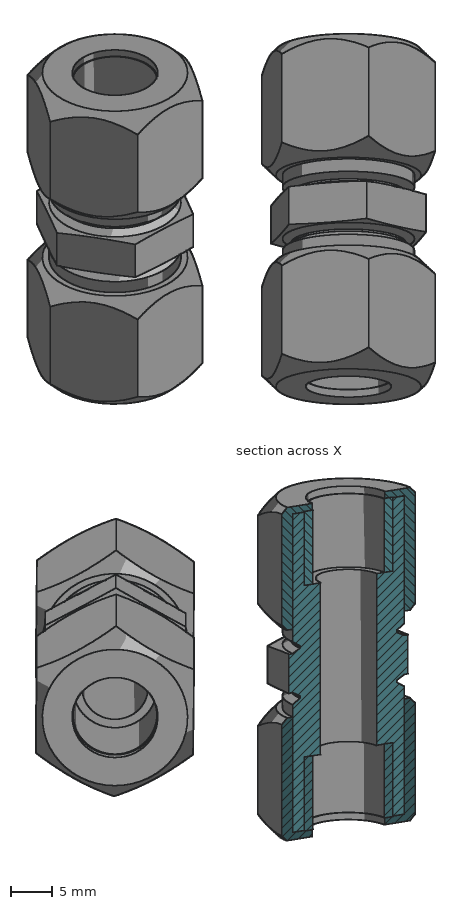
import cadquery as cq
import math

overall_length = 42.0
half_length = overall_length / 2

nut_across_flats = 19.1
nut_length = 15.5
nut_face_diameter = 17.65
nut_chamfer_angle = 45.0
nut_hole_diameter = 10.37
nut_lip = 0.92

body_diameter = 16.05
bore_diameter = 8.0
hex_across_flats = 17.1
hex_height = 4.95
hex_corner_drop = 0.13

groove_diameter = 13.95
groove_floor_bottom = 3.02
groove_floor_top = 3.28
groove_top = 3.95

ring_outer_diameter = 12.6
ring_inner_diameter = 10.15
ring_length = 9.25

nut_inner_height = half_length - nut_length
seat_height = half_length - nut_lip
ring_bottom_height = seat_height - ring_length


def across_corners(across_flats):
    return across_flats / math.cos(math.radians(30))


def cylinder(diameter, bottom, top):
    return cq.Workplane("XY").workplane(offset=bottom).circle(diameter / 2).extrude(top - bottom)


def revolve_profile(points):
    """Revolve a closed outline of (radius, height) points about the Z axis."""
    return cq.Workplane("XZ").polyline(points).close().revolve(360, (0, 0), (0, 1))


def chamfered_hexagon(across_flats, bottom, top, face_diameter, corner_drop):
    """Hexagonal prism with corners on the X axis, both ends turned down to a conical chamfer."""
    corner_diameter = across_corners(across_flats)
    prism = cq.Workplane("XY").workplane(offset=bottom).polygon(6, corner_diameter).extrude(top - bottom)
    turned_blank = revolve_profile([
        (0, bottom),
        (face_diameter / 2, bottom),
        (corner_diameter / 2, bottom + corner_drop),
        (corner_diameter / 2, top - corner_drop),
        (face_diameter / 2, top),
        (0, top),
    ])
    return prism.intersect(turned_blank)


def make_nut():
    """Upper union nut: chamfered hexagon with a lip around the tube hole."""
    chamfer_width = (across_corners(nut_across_flats) - nut_face_diameter) / 2
    corner_drop = chamfer_width * math.tan(math.radians(nut_chamfer_angle))
    nut = chamfered_hexagon(nut_across_flats, nut_inner_height, half_length, nut_face_diameter, corner_drop)
    nut = nut.cut(cylinder(body_diameter, nut_inner_height, seat_height))
    return nut.cut(cylinder(nut_hole_diameter, seat_height, half_length))


def make_clamping_ring():
    """Upper clamping ring: plain sleeve held between the nut lip and the body."""
    ring = cylinder(ring_outer_diameter, ring_bottom_height, seat_height)
    return ring.cut(cylinder(ring_inner_diameter, ring_bottom_height, seat_height))


def make_body_end():
    """Upper half of the round body, from mid-height to the nut lip, with its tapered relief groove."""
    hex_top = hex_height / 2
    return revolve_profile([
        (0, 0),
        (body_diameter / 2, 0),
        (body_diameter / 2, hex_top),
        (groove_diameter / 2, groove_floor_bottom),
        (groove_diameter / 2, groove_floor_top),
        (body_diameter / 2, groove_top),
        (body_diameter / 2, seat_height),
        (0, seat_height),
    ])


def make_body():
    """Union body: central hexagon, two round ends, a through bore and a ring recess at each end."""
    hex_top = hex_height / 2
    body = chamfered_hexagon(hex_across_flats, -hex_top, hex_top, hex_across_flats, hex_corner_drop)
    body_end = make_body_end()
    body = body.union(body_end).union(body_end.mirror("XY"))
    recess = cylinder(ring_outer_diameter, ring_bottom_height, seat_height)
    body = body.cut(recess).cut(recess.mirror("XY"))
    return body.cut(cylinder(bore_diameter, -seat_height, seat_height))


body = make_body()
solids = [body.solids().val()]
for make_part in (make_nut, make_clamping_ring):
    upper = make_part()
    lower = upper.mirror("XY")
    solids += [upper.solids().val(), lower.solids().val()]

result = cq.Compound.makeCompound(solids)